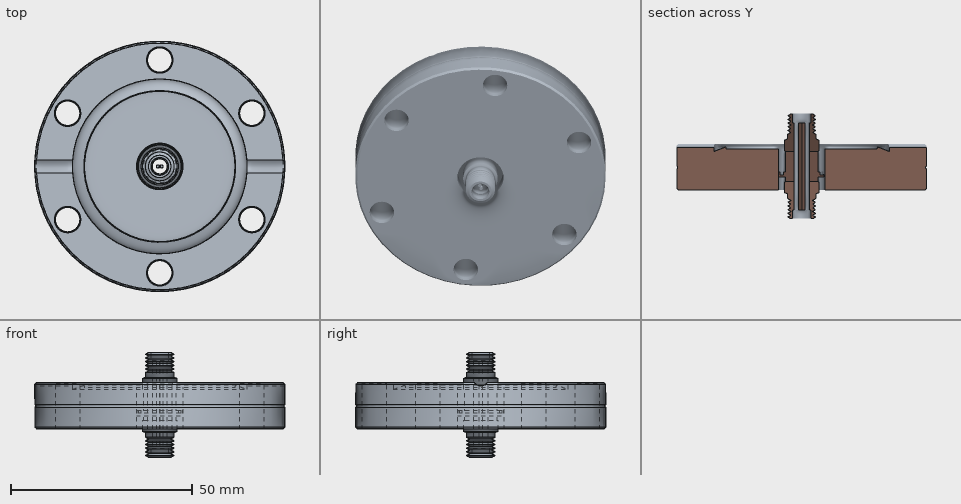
import cadquery as cq
import math

FLANGE_DIA = 69.09
FLANGE_THICKNESS = 12.7
FLANGE_TOP = 6.12
FLANGE_BOTTOM = FLANGE_TOP - FLANGE_THICKNESS
RIM_CHAMFER = 0.5

RECESS_DIA = 48.26
RECESS_DEPTH = 1.9
KNIFE_DIA = 41.9
KNIFE_DROP = 0.66
FLOOR_DIA = 41.5
FLOOR_DROP = 1.25
FLANGE_BORE_DIA = 12.72

BOLT_COUNT = 6
BOLT_CIRCLE_DIA = 58.72
BOLT_HOLE_DIA = 6.73
BOLT_START_ANGLE = 90
BOLT_HOLE_CHAMFER = 0.28

LEAK_GROOVE_WIDTH = 3.5
LEAK_GROOVE_DEPTH = 0.85

RIM_GROOVE_Z = -0.27
RIM_GROOVE_WIDTH = 0.8
RIM_GROOVE_DEPTH = 0.25

CONNECTOR_LENGTH = 28.96
SHELL_TIP = CONNECTOR_LENGTH / 2
SHELL_BASE = 4.25
SHOULDER_DIA = 9.55
SHOULDER_CHAMFER_BASE = 7.3
SHOULDER_TOP = 7.63
THREAD_DIA = 7.94
THREAD_PITCH = 1.016
CREST_COUNT = 5
THREAD_FLANK_ANGLE = 30
THREAD_ROOT_DIA = THREAD_DIA - THREAD_PITCH / math.tan(math.radians(THREAD_FLANK_ANGLE))
SHELL_BORE_DIA = 4.13
MOUTH_DIA = 4.91
MOUTH_DEPTH = 2.4

SLEEVE_DIA = 9.04
WELD_RING_DIA = 12.57
WELD_GROOVE_OUTER_DIA = 11.81
WELD_GROOVE_INNER_DIA = 10.29
WELD_RING_TOP = -1.5
WELD_RING_HEIGHT = 1.5
WELD_GROOVE_DEPTH = WELD_RING_HEIGHT / 2

PIN_DIA = 0.91
PIN_SPACING = 1.02
PIN_END = SHELL_TIP - MOUTH_DEPTH


def cylinder(diameter, bottom, top):
    """Upright cylinder on the Z axis."""
    return cq.Workplane("XY").workplane(offset=bottom).circle(diameter / 2).extrude(top - bottom)


def revolve_profile(points):
    """Turn a closed outline of (radius, z) points around the Z axis."""
    return cq.Workplane("XZ").polyline(points).close().revolve(360, (0, 0), (0, 1))


def arc_groove_radius(width, depth):
    """Radius of the round cutter that leaves a groove of this width and depth."""
    return (width**2 / 4 + depth**2) / (2 * depth)


def make_seal_recess():
    """Space above the knife edge: wall, sloping knife flank and raised inner floor."""
    return revolve_profile([
        (0, FLANGE_TOP),
        (RECESS_DIA / 2, FLANGE_TOP),
        (RECESS_DIA / 2, FLANGE_TOP - RECESS_DEPTH),
        (KNIFE_DIA / 2, FLANGE_TOP - KNIFE_DROP),
        (FLOOR_DIA / 2, FLANGE_TOP - FLOOR_DROP),
        (0, FLANGE_TOP - FLOOR_DROP),
    ])


def make_leak_groove():
    """Round-bottomed groove across the bolting face along X."""
    radius = arc_groove_radius(LEAK_GROOVE_WIDTH, LEAK_GROOVE_DEPTH)
    return (
        cq.Workplane("YZ")
        .center(0, FLANGE_TOP - LEAK_GROOVE_DEPTH + radius)
        .circle(radius)
        .extrude(FLANGE_DIA / 2, both=True)
    )


def make_rim_groove():
    """Shallow round-bottomed groove around the rim."""
    radius = FLANGE_DIA / 2
    return (
        cq.Workplane("XZ")
        .moveTo(radius, RIM_GROOVE_Z - RIM_GROOVE_WIDTH / 2)
        .threePointArc(
            (radius - RIM_GROOVE_DEPTH, RIM_GROOVE_Z),
            (radius, RIM_GROOVE_Z + RIM_GROOVE_WIDTH / 2),
        )
        .close()
        .revolve(360, (0, 0), (0, 1))
    )


def make_bolt_holes():
    """Ring of through holes, chamfered at the bolting face."""
    hole = BOLT_HOLE_DIA / 2
    cutter = revolve_profile([
        (0, FLANGE_BOTTOM),
        (hole, FLANGE_BOTTOM),
        (hole, FLANGE_TOP - BOLT_HOLE_CHAMFER),
        (hole + BOLT_HOLE_CHAMFER, FLANGE_TOP),
        (0, FLANGE_TOP),
    ])
    return (
        cq.Workplane("XY")
        .polarArray(BOLT_CIRCLE_DIA / 2, BOLT_START_ANGLE, 360, BOLT_COUNT)
        .eachpoint(cutter.val(), combine=True)
    )


def make_flange():
    flange = cylinder(FLANGE_DIA, FLANGE_BOTTOM, FLANGE_TOP).edges().chamfer(RIM_CHAMFER)
    flange = flange.cut(make_seal_recess())
    recess_column = cylinder(RECESS_DIA, FLANGE_BOTTOM, FLANGE_TOP)
    flange = flange.cut(make_leak_groove().cut(recess_column))
    flange = flange.cut(make_rim_groove())
    flange = flange.cut(make_bolt_holes())
    return flange.cut(cylinder(FLANGE_BORE_DIA, FLANGE_BOTTOM, FLANGE_TOP))


def thread_points():
    """Sharp ring-thread outline from the plain collar's top edge up to the shell tip."""
    root = THREAD_ROOT_DIA / 2
    crest = THREAD_DIA / 2
    collar_top = SHELL_TIP - (CREST_COUNT + 0.5) * THREAD_PITCH
    points = [(crest, collar_top)]
    for i in range(CREST_COUNT):
        lower_crest = collar_top + i * THREAD_PITCH
        points.append((root, lower_crest + THREAD_PITCH / 2))
        points.append((crest, lower_crest + THREAD_PITCH))
    points.append((root, SHELL_TIP))
    return points


def make_shell():
    """Upper threaded shell."""
    bore = SHELL_BORE_DIA / 2
    shoulder = SHOULDER_DIA / 2
    mouth = MOUTH_DIA / 2
    mouth_floor = SHELL_TIP - MOUTH_DEPTH
    return revolve_profile([
        (bore, SHELL_BASE),
        (shoulder, SHELL_BASE),
        (shoulder, SHOULDER_CHAMFER_BASE),
        (THREAD_DIA / 2, SHOULDER_TOP),
        *thread_points(),
        (mouth, SHELL_TIP),
        (mouth, mouth_floor),
        (bore, mouth_floor),
    ])


def make_sleeve():
    """Tube joining the shells, with a grooved weld ring."""
    ring_bottom = WELD_RING_TOP - WELD_RING_HEIGHT
    groove_floor = WELD_RING_TOP - WELD_GROOVE_DEPTH
    sleeve = cylinder(SLEEVE_DIA, -SHELL_BASE, SHELL_BASE)
    sleeve = sleeve.union(cylinder(WELD_RING_DIA, ring_bottom, WELD_RING_TOP))
    groove = cylinder(WELD_GROOVE_OUTER_DIA, groove_floor, WELD_RING_TOP).cut(
        cylinder(WELD_GROOVE_INNER_DIA, groove_floor, WELD_RING_TOP)
    )
    return sleeve.cut(groove).cut(cylinder(SHELL_BORE_DIA, -SHELL_BASE, SHELL_BASE))


def make_pin(x):
    return cylinder(PIN_DIA, -PIN_END, PIN_END).translate((x, 0, 0))


flange = make_flange()
sleeve = make_sleeve()
upper_shell = make_shell()
lower_shell = upper_shell.mirror("XY")
pins = [make_pin(side * PIN_SPACING / 2) for side in (-1, 1)]

result = cq.Compound.makeCompound([
    flange.val(),
    sleeve.val(),
    upper_shell.val(),
    lower_shell.val(),
    *[pin.val() for pin in pins],
])